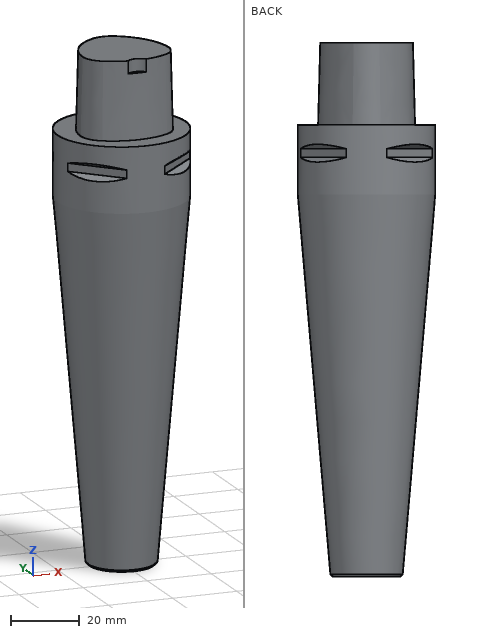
import cadquery as cq
import math

total_height = 155.0
collar_radius = 20.0
collar_height = 20.2
coupling_height = 23.9
tip_radius = 10.5
tip_chamfer = 0.8

coupling_base_radius = 14.1
coupling_top_radius = 13.5
lobe_rise = 1.0

slot_count = 4
slot_first_angle = 45.0
slot_drop = 8.2
slot_floor_distance = 17.7
slot_floor_width = 2.5
slot_flank_angle = 30.0

notch_radius = 3.5
notch_center_y = -14.5
notch_depth = 3.9

shoulder_z = total_height - coupling_height
collar_bottom_z = shoulder_z - collar_height


def lobed_outline(mean_radius, z):
    """Constant-width outline at height z, with lobes at 90, 210 and 330 degrees."""
    flat_lobe_offset = 2 * mean_radius / math.sqrt(3)
    lobe_radius = (flat_lobe_offset - mean_radius - lobe_rise) / (2 / math.sqrt(3) - 1)
    flank_radius = 2 * mean_radius - lobe_radius
    lobe_offset = (flank_radius - lobe_radius) / math.sqrt(3)

    def point(axis_angle, normal_angle, center_distance, radius):
        axis = math.radians(axis_angle)
        normal = math.radians(normal_angle)
        return (
            center_distance * math.cos(axis) + radius * math.cos(normal),
            center_distance * math.sin(axis) + radius * math.sin(normal),
        )

    outline = cq.Workplane("XY").workplane(offset=z).moveTo(*point(90, 60, lobe_offset, lobe_radius))
    for lobe in (90, 210, 330):
        lobe_crest = point(lobe, lobe, lobe_offset, lobe_radius)
        lobe_end = point(lobe, lobe + 30, lobe_offset, lobe_radius)
        flank_middle = point(lobe + 240, lobe + 60, lobe_offset, flank_radius)
        flank_end = point(lobe + 120, lobe + 90, lobe_offset, lobe_radius)
        outline = outline.threePointArc(lobe_crest, lobe_end).threePointArc(flank_middle, flank_end)
    return outline.wire().val()


def make_body():
    """Turned shank and collar."""
    profile = [
        (0, 0),
        (tip_radius - tip_chamfer, 0),
        (tip_radius, tip_chamfer),
        (collar_radius, collar_bottom_z),
        (collar_radius, shoulder_z),
        (0, shoulder_z),
    ]
    return cq.Workplane("XZ").polyline(profile).close().revolve(360, (0, 0), (0, 1))


def make_coupling():
    """Tapered lobed plug."""
    plug = cq.Solid.makeLoft(
        [lobed_outline(coupling_base_radius, shoulder_z), lobed_outline(coupling_top_radius, total_height)],
        True,
    )
    return cq.Workplane(plug)


def make_slot(angle):
    """Cutter for one gripper slot, its trapezoidal section widening outwards."""
    slot_z = shoulder_z - slot_drop
    floor_half = slot_floor_width / 2
    slot_depth = collar_radius - slot_floor_distance
    mouth_half = floor_half + slot_depth * math.tan(math.radians(slot_flank_angle))
    section = [
        (slot_floor_distance, slot_z - floor_half),
        (collar_radius, slot_z - mouth_half),
        (collar_radius, slot_z + mouth_half),
        (slot_floor_distance, slot_z + floor_half),
    ]
    cutter = cq.Workplane("XZ").polyline(section).close().extrude(collar_radius, both=True)
    return cutter.rotate((0, 0, 0), (0, 0, 1), angle)


def make_notch():
    """Cylindrical cutter for the orientation notch."""
    notch_plane = cq.Workplane("XY").workplane(offset=total_height - notch_depth)
    return notch_plane.center(0, notch_center_y).circle(notch_radius).extrude(notch_depth)


body = make_body().union(make_coupling())
for slot_index in range(slot_count):
    body = body.cut(make_slot(slot_first_angle + slot_index * 360 / slot_count))
result = body.cut(make_notch())